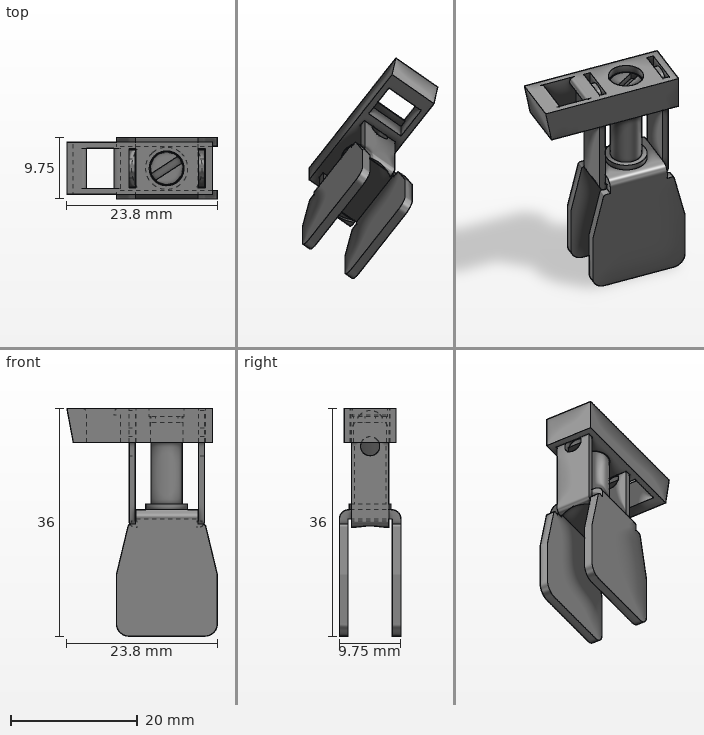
import cadquery as cq
import math


FORK_WIDTH = 15.97
FORK_DEPTH = 9.75
PRONG_THICKNESS = 1.4
PLATE_THICKNESS = 1.5
PLATE_WIDTH = 9.85
PLATE_TOP = 20.0
BEND_RADIUS = 1.5
SHOULDER_Z = 17.7
SHOULDER_WIDTH = 12.12
SHOULDER_RADIUS = 0.5
TAPER_START_Z = 9.7
FOOT_RADIUS = 2.0

SCREW_X = -0.05
COLLAR_DIAMETER = 6.65
COLLAR_HEIGHT = 0.9
SCREW_DIAMETER = 5.0
SCREW_TOP = 34.7
HEAD_DIAMETER = 5.18
DRIVER_SLOT_WIDTH = 1.25
DRIVER_SLOT_DEPTH = 1.0
DRIVER_SLOT_ANGLE = 33

BLOCK_TOP = 35.97
BLOCK_HEIGHT = 5.4
BLOCK_DEPTH = 8.25
BLOCK_RIGHT = 7.23
BLOCK_LENGTH = 23.02
END_SLOPE_RUN = 1.0
BLOCK_BOTTOM = BLOCK_TOP - BLOCK_HEIGHT
BLOCK_LEFT = BLOCK_RIGHT - BLOCK_LENGTH
COUNTERBORE_DIAMETER = 5.5

WINDOW_LEFT = -13.38
WINDOW_RIGHT = -7.55
WINDOW_DEPTH = 6.33
LEFT_LIP_RADIUS = 0.72
RIGHT_LIP_RADIUS = 0.83
RIGHT_LIP_THICKNESS = 1.0
UNDERCUT = 0.25

LEG_INNER_X = 4.95
LEG_THICKNESS = 1.0
LEG_DEPTH = 5.95
LEG_TOP = 35.6
LEG_BOTTOM = 17.2
LEG_TIP_RADIUS = 2.0
LEG_TIP_FLAT = 0.2
LEG_TIP_ARC_HALF_WIDTH = 1.8
LEG_HOLE_DIAMETER = 3.02
LEG_HOLE_Z = 30.0
LEG_SLOT_WIDTH = 1.1
LEG_SLOT_DEPTH = 6.1

HOOK_HEIGHT = 0.97
HOOK_REACH = 0.55
HOOK_CLEARANCE_RADIUS = 5.58
LEG_OUTER_X = LEG_INNER_X + LEG_THICKNESS


def make_fork_blank():
    """Solid block with the side profile of the fork: rounded feet, tapered sides and shoulders."""
    foot = FORK_WIDTH / 2
    shoulder = SHOULDER_WIDTH / 2
    plate = PLATE_WIDTH / 2
    blank = (
        cq.Workplane("XZ", origin=(0, FORK_DEPTH / 2, 0))
        .polyline([
            (-foot, 0), (foot, 0), (foot, TAPER_START_Z), (shoulder, SHOULDER_Z),
            (plate, SHOULDER_Z), (plate, PLATE_TOP), (-plate, PLATE_TOP), (-plate, SHOULDER_Z),
            (-shoulder, SHOULDER_Z), (-foot, TAPER_START_Z),
        ])
        .close()
        .extrude(FORK_DEPTH)
    )
    blank = blank.edges("|Y and <Z").fillet(FOOT_RADIUS)
    for side in (-1, 1):
        corner = cq.selectors.NearestToPointSelector((side * shoulder, 0, SHOULDER_Z))
        blank = blank.edges("|Y").edges(corner).fillet(SHOULDER_RADIUS)
    return blank


def make_fork_sheet():
    """Prongs and top plate, rounded outside along the two bends."""
    gap_height = PLATE_TOP - PLATE_THICKNESS
    gap = cq.Workplane("XY").box(
        FORK_WIDTH, FORK_DEPTH - 2 * PRONG_THICKNESS, gap_height, centered=(True, True, False)
    )
    return make_fork_blank().edges("|X and >Z").fillet(BEND_RADIUS).cut(gap)


def make_screw():
    """Shaft with a collar on the fork plate and a slotted head."""
    collar = (
        cq.Workplane("XY", origin=(SCREW_X, 0, PLATE_TOP))
        .circle(COLLAR_DIAMETER / 2)
        .extrude(COLLAR_HEIGHT)
    )
    shaft = (
        cq.Workplane("XY", origin=(SCREW_X, 0, PLATE_TOP))
        .circle(SCREW_DIAMETER / 2)
        .extrude(SCREW_TOP - PLATE_TOP)
    )
    head = (
        cq.Workplane("XY", origin=(SCREW_X, 0, BLOCK_BOTTOM))
        .circle(HEAD_DIAMETER / 2)
        .extrude(SCREW_TOP - BLOCK_BOTTOM)
    )
    driver_slot = (
        cq.Workplane("XY", origin=(SCREW_X, 0, SCREW_TOP - DRIVER_SLOT_DEPTH))
        .transformed(rotate=(0, 0, DRIVER_SLOT_ANGLE))
        .rect(2 * HEAD_DIAMETER, DRIVER_SLOT_WIDTH)
        .extrude(DRIVER_SLOT_DEPTH)
    )
    return collar.union(shaft).union(head).cut(driver_slot)


def make_fork():
    return make_fork_sheet().union(make_screw())


def make_window():
    """Cutter for the window: a lip curls in at the top right and hangs over an undercut."""
    lip_x = WINDOW_RIGHT - RIGHT_LIP_RADIUS
    lip_bottom = BLOCK_TOP - RIGHT_LIP_THICKNESS
    back_x = WINDOW_RIGHT + UNDERCUT
    wall_x = WINDOW_LEFT + LEFT_LIP_RADIUS
    quarter = math.sqrt(0.5)
    right_arc_middle = (
        WINDOW_RIGHT - RIGHT_LIP_RADIUS * quarter,
        BLOCK_TOP - RIGHT_LIP_RADIUS * (1 - quarter),
    )
    left_arc_middle = (
        WINDOW_LEFT + LEFT_LIP_RADIUS * quarter,
        BLOCK_TOP - LEFT_LIP_RADIUS * (1 - quarter),
    )
    return (
        cq.Workplane("XZ", origin=(0, WINDOW_DEPTH / 2, 0))
        .moveTo(WINDOW_LEFT, BLOCK_TOP)
        .lineTo(WINDOW_RIGHT, BLOCK_TOP)
        .threePointArc(right_arc_middle, (lip_x, BLOCK_TOP - RIGHT_LIP_RADIUS))
        .lineTo(lip_x, lip_bottom)
        .lineTo(back_x, lip_bottom)
        .lineTo(back_x, BLOCK_BOTTOM)
        .lineTo(wall_x, BLOCK_BOTTOM)
        .lineTo(wall_x, BLOCK_TOP - LEFT_LIP_RADIUS)
        .threePointArc(left_arc_middle, (WINDOW_LEFT, BLOCK_TOP))
        .close()
        .extrude(WINDOW_DEPTH)
    )


def make_leg_slot(leg_left_x):
    """Cutter for the slot around a leg; the slack is all on the +X side of the leg."""
    return cq.Workplane("XY", origin=(leg_left_x, 0, BLOCK_BOTTOM)).box(
        LEG_SLOT_WIDTH, LEG_SLOT_DEPTH, BLOCK_HEIGHT, centered=(False, True, False)
    )


def make_screw_hole():
    """Cutter for the bore that fits the screw head, with a counterbore down to the screw top."""
    bore = (
        cq.Workplane("XY", origin=(SCREW_X, 0, BLOCK_BOTTOM))
        .circle(HEAD_DIAMETER / 2)
        .extrude(BLOCK_HEIGHT)
    )
    counterbore = (
        cq.Workplane("XY", origin=(SCREW_X, 0, SCREW_TOP))
        .circle(COUNTERBORE_DIAMETER / 2)
        .extrude(BLOCK_TOP - SCREW_TOP)
    )
    return bore.union(counterbore)


def make_block():
    block = (
        cq.Workplane("XZ", origin=(0, BLOCK_DEPTH / 2, 0))
        .polyline([
            (BLOCK_LEFT, BLOCK_TOP), (BLOCK_RIGHT, BLOCK_TOP),
            (BLOCK_RIGHT, BLOCK_BOTTOM), (BLOCK_LEFT + END_SLOPE_RUN, BLOCK_BOTTOM),
        ])
        .close()
        .extrude(BLOCK_DEPTH)
    )
    block = block.cut(make_screw_hole()).cut(make_window())
    for leg_left_x in (-LEG_OUTER_X, LEG_INNER_X):
        block = block.cut(make_leg_slot(leg_left_x))
    return block


def make_leg_strap():
    """Flat part of the right-hand leg: rounded, tapered tip and a round hole."""
    half = LEG_DEPTH / 2
    flat = LEG_TIP_FLAT / 2
    arc_end = LEG_TIP_ARC_HALF_WIDTH
    slope = math.asin((arc_end - flat) / LEG_TIP_RADIUS)
    arc_end_z = LEG_TOP - LEG_TIP_RADIUS * (1 - math.cos(slope))
    arc_middle = (
        flat + LEG_TIP_RADIUS * math.sin(slope / 2),
        LEG_TOP - LEG_TIP_RADIUS * (1 - math.cos(slope / 2)),
    )
    taper_end_z = arc_end_z - (half - arc_end) * math.tan(slope)
    return (
        cq.Workplane("YZ", origin=(LEG_INNER_X, 0, 0))
        .moveTo(-half, LEG_BOTTOM)
        .lineTo(half, LEG_BOTTOM)
        .lineTo(half, taper_end_z)
        .lineTo(arc_end, arc_end_z)
        .threePointArc(arc_middle, (flat, LEG_TOP))
        .lineTo(-flat, LEG_TOP)
        .threePointArc((-arc_middle[0], arc_middle[1]), (-arc_end, arc_end_z))
        .lineTo(-half, taper_end_z)
        .close()
        .moveTo(0, LEG_HOLE_Z)
        .circle(LEG_HOLE_DIAMETER / 2)
        .extrude(LEG_THICKNESS)
    )


def make_leg():
    """Right-hand leg with its hook, rounded outside and hollowed round the Z axis."""
    hook = cq.Workplane("XY", origin=(LEG_INNER_X - HOOK_REACH, 0, LEG_BOTTOM)).box(
        HOOK_REACH, LEG_DEPTH, HOOK_HEIGHT, centered=(False, True, False)
    )
    hollow = (
        cq.Workplane("XY", origin=(0, 0, LEG_BOTTOM))
        .circle(HOOK_CLEARANCE_RADIUS)
        .extrude(HOOK_HEIGHT)
    )
    leg = make_leg_strap().union(hook)
    return leg.edges("|Y and >X and <Z").fillet(LEG_THICKNESS).cut(hollow)


def make_handle():
    right_leg = make_leg()
    left_leg = right_leg.mirror("YZ")
    return make_block().union(right_leg).union(left_leg)


fork = make_fork()
handle = make_handle()

result = cq.Compound.makeCompound([fork.val(), handle.val()])